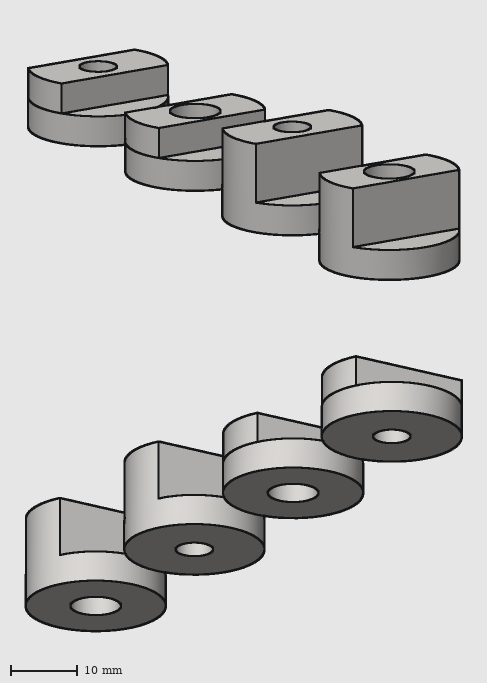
import cadquery as cq

row_length = 104.9
disc_diameter = 21.2
block_count = 4
pitch = (row_length - disc_diameter) / (block_count - 1)

disc_height = 4.7
low_bar_height = 4.7
tall_height = 14.0
tall_bar_height = tall_height - disc_height
bar_width = 9.7

small_hole = 5.7
large_hole = 7.7
hole_sizes = [small_hole, large_hole]


def make_disc(x, hole_diameter):
    """Round foot with a through hole, standing on Z = 0."""
    disc = cq.Workplane("XY").center(x, 0).circle(disc_diameter / 2)
    return disc.circle(hole_diameter / 2).extrude(disc_height)


def make_bar(x, hole_diameter, height):
    """Straight-sided bar on top of a foot, its ends following the foot's rim."""
    foot_top = cq.Workplane("XY", origin=(x, 0, disc_height))
    round_bar = foot_top.circle(disc_diameter / 2).circle(hole_diameter / 2).extrude(height)
    strip = foot_top.rect(bar_width, disc_diameter).extrude(height)
    return round_bar.intersect(strip)


def make_tall_block(x, hole_diameter):
    """Foot and bar made in one piece."""
    return make_disc(x, hole_diameter).union(make_bar(x, hole_diameter, tall_bar_height))


first_x = -(row_length - disc_diameter) / 2
low_discs = []
low_bars = []
tall_blocks = []
for index, hole_diameter in enumerate(hole_sizes):
    low_x = first_x + index * pitch
    tall_x = low_x + len(hole_sizes) * pitch
    low_discs.append(make_disc(low_x, hole_diameter).val())
    low_bars.append(make_bar(low_x, hole_diameter, low_bar_height).val())
    tall_blocks.append(make_tall_block(tall_x, hole_diameter).val())

result = cq.Compound.makeCompound([*low_discs, *low_bars, *tall_blocks])